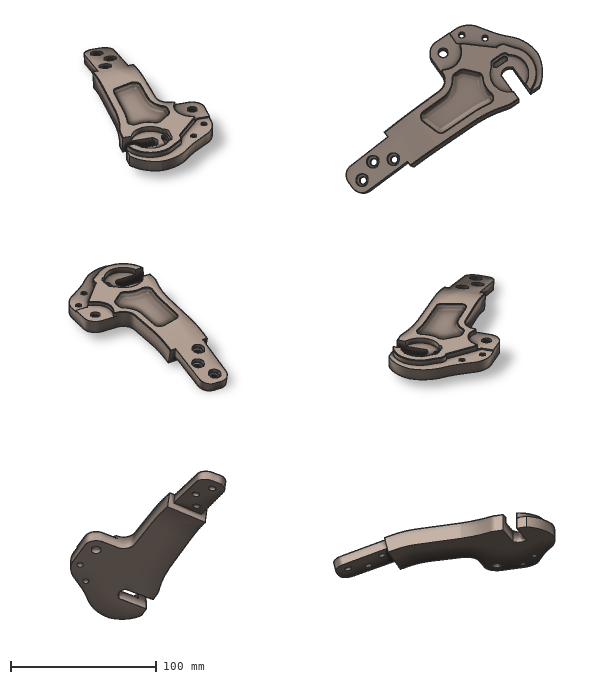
import cadquery as cq
import math

length = 158.0
head_depth = 66.0
plate = 11.8
edge_chamfer = 0.5
through = 4 * plate

bend_angle = 13.5
bend_start = 63.3
bend_radius = 77.9
tilt = math.radians(bend_angle)
bend_end = bend_start - bend_radius * math.sin(tilt)
bend_end_top = plate - bend_radius * (1 - math.cos(tilt))
tip_top = bend_end_top - bend_end * math.tan(tilt)

tongue_thickness = 6.8
tongue_low = 8.0
tongue_high_tip = 29.0
tongue_high_root = 30.2
tongue_corner = 7.9
tongue_overlap = 2.4
shoulder_low = 41.7
shoulder_high = 40.3
screw_holes = [(8.5, 16.6), (22.0, 22.5), (34.6, 15.3)]
screw_diameter = 5.0
counterbore_diameter = 8.7
counterbore_depth = 3.5

arm_low = 4.3
arm_high_end = (39.5, 34.3)
neck_x = 95.4
neck_corner = (neck_x, 36.3)
neck_fillet = 9.2

boss_radius = 9.0
pivot = (neck_x + boss_radius, head_depth - boss_radius)
pivot_diameter = 6.8
boss_relief_radius = 12.3
boss_relief = 2.8
step_corner = (115.8, 57.2)
relief_corner_fillet = 1.6
pin_holes = [(122.3, 60.2), (134.3, 49.3)]
pin_diameter = 4.3

hook = (133.3, 18.5)
slot_width = 10.0
slot_end_radius = 6.2
slot_top = 23.9
recess_radius = 13.3
ledge_depth = 4.0
recess_depth = ledge_depth
key_center = (hook[0], 29.5)
key_length = 11.2
key_width = 4.0
key_margin = 1.5
key_depth = key_width
rim_radius = 18.8
rim_start_angle = -75
rim_end_angle = 45

pocket_depth = 4.6
pocket_cove = 4.0
pocket_wall_offset = 4.1

incline = cq.Plane(
    origin=(0, 0, tip_top),
    xDir=(math.cos(tilt), 0, math.sin(tilt)),
    normal=(-math.sin(tilt), 0, math.cos(tilt)),
)


def drill(body, centers, diameter):
    """Cut vertical through holes."""
    pins = cq.Workplane("XY").pushPoints(centers).circle(diameter / 2).extrude(through, both=True)
    return body.cut(pins)


def bent_plate():
    """Side profile of constant thickness: flat head, bend and incline, wider than the part."""
    def bend_point(radius, angle):
        return (bend_start - radius * math.sin(angle), plate - bend_radius + radius * math.cos(angle))

    inner_radius = bend_radius - plate
    tip = (0, tip_top)
    tip_under = (plate * math.sin(tilt), tip_top - plate * math.cos(tilt))
    return (
        cq.Workplane("XZ")
        .moveTo(length + plate, plate)
        .lineTo(bend_start, plate)
        .threePointArc(bend_point(bend_radius, tilt / 2), bend_point(bend_radius, tilt))
        .lineTo(*tip)
        .lineTo(*tip_under)
        .lineTo(*bend_point(inner_radius, tilt))
        .threePointArc(bend_point(inner_radius, tilt / 2), (bend_start, 0))
        .lineTo(length + plate, 0)
        .close()
        .extrude(-head_depth - plate)
        .translate((0, -plate / 2, 0))
    )


def plan_outline():
    """Outline of arm and head seen from above, as a tall prism."""
    boss_diagonal = boss_radius * math.sqrt(0.5)
    prism = (
        cq.Workplane("XY")
        .moveTo(0, arm_low)
        .lineTo(96.4, arm_low)
        .threePointArc((107.9, 3.2), (119.1, 0.5))
        .threePointArc((120.5, 0.2), (122.1, 0))
        .lineTo(145.6, 0)
        .threePointArc((153.5, 7.6), (length, 19.3))
        .threePointArc((155.3, 31.5), (148.5, 40.8))
        .threePointArc((145.2, 44.2), (142.2, 47.9))
        .lineTo(135.8, 56.9)
        .threePointArc((130.6, 62.9), (122.4, head_depth))
        .lineTo(pivot[0], pivot[1] + boss_radius)
        .threePointArc((pivot[0] - boss_diagonal, pivot[1] + boss_diagonal), (neck_x, pivot[1]))
        .lineTo(*neck_corner)
        .lineTo(*arm_high_end)
        .lineTo(0, arm_high_end[1])
        .close()
        .extrude(through, both=True)
    )
    at_neck = cq.selectors.NearestToPointSelector((*neck_corner, 0))
    return prism.edges("|Z").edges(at_neck).fillet(neck_fillet)


def shoulder_cutter():
    """Everything on the tongue side of the slightly skewed shoulder face."""
    skew = (shoulder_low - shoulder_high) / (arm_high_end[1] - arm_low)
    low_y = -plate
    high_y = head_depth
    return (
        cq.Workplane(incline)
        .polyline([
            (-plate, low_y),
            (shoulder_low - skew * (low_y - arm_low), low_y),
            (shoulder_low - skew * (high_y - arm_low), high_y),
            (-plate, high_y),
        ])
        .close()
        .extrude(through, both=True)
    )


def ledge_cutter():
    """Lowered ledge outside the raised rim and the diagonal step."""
    def rim_point(degrees):
        angle = math.radians(degrees)
        return (hook[0] + rim_radius * math.cos(angle), hook[1] + rim_radius * math.sin(angle))

    return (
        cq.Workplane("XY", origin=(0, 0, plate - ledge_depth))
        .moveTo(*rim_point(rim_start_angle))
        .threePointArc(rim_point((rim_start_angle + rim_end_angle) / 2), rim_point(rim_end_angle))
        .lineTo(142.6, 37.1)
        .threePointArc((140.6, 38.5), (136.5, 38.9))
        .lineTo(*step_corner)
        .lineTo(step_corner[0], head_depth + plate)
        .lineTo(length + plate, head_depth + plate)
        .lineTo(length + plate, -plate)
        .lineTo(rim_point(rim_start_angle)[0], -plate)
        .close()
        .extrude(plate)
    )


def boss_cutter():
    """Lowered face around the pivot hole."""
    level = cq.Workplane("XY", origin=(0, 0, plate - boss_relief))
    round_part = level.center(*pivot).circle(boss_relief_radius).extrude(plate)
    width = step_corner[0] - neck_x + plate
    square_center = (step_corner[0] - width / 2, pivot[1] + width / 2)
    square_part = level.center(*square_center).rect(width, width).extrude(plate)
    return round_part.union(square_part)


def round_relief_corners(body):
    """Round the two upright corners where the pivot relief meets the neck and the ledge step."""
    neck_end = (neck_x, pivot[1] - math.sqrt(boss_relief_radius**2 - boss_radius**2))
    step_end = (pivot[0] + boss_relief_radius, step_corner[1])
    for corner in [neck_end, step_end]:
        nearest = cq.selectors.NearestToPointSelector((*corner, plate - boss_relief / 2))
        body = body.edges("|Z").edges(nearest).fillet(relief_corner_fillet)
    return body


def pocket_cutter():
    """Pocket whose coved walls run outward from the outline of its flat floor."""
    floor = (
        cq.Workplane("XY", origin=(0, 0, plate - pocket_depth))
        .moveTo(73.0, 14.4)
        .lineTo(96.5, 14.4)
        .threePointArc((103.5, 14.0), (110.7, 13.1))
        .threePointArc((110.1, 20.5), (112.6, 28.3))
        .lineTo(106.3, 35.4)
        .lineTo(102.5, 35.4)
        .threePointArc((95.5, 28.7), (86.4, 26.2))
        .lineTo(69.3, 25.7)
        .close()
    )
    pocket = floor.offset2D(pocket_wall_offset).extrude(pocket_depth)
    return pocket.faces("<Z").edges().fillet(pocket_cove)


def hook_cutter():
    """Open slot, round recess with a keyed bump, and the blind key slot."""
    half = slot_width / 2
    slot_shoulder = slot_top - slot_end_radius + math.sqrt(slot_end_radius**2 - half**2)
    slot = (
        cq.Workplane("XY")
        .moveTo(hook[0] - half, -plate)
        .lineTo(hook[0] + half, -plate)
        .lineTo(hook[0] + half, slot_shoulder)
        .threePointArc((hook[0], slot_top), (hook[0] - half, slot_shoulder))
        .close()
        .extrude(through, both=True)
    )
    floor = cq.Workplane("XY", origin=(0, 0, plate - recess_depth))
    recess = floor.center(*hook).circle(recess_radius).extrude(plate)
    bump_length = key_length + 2 * key_margin
    bump_width = key_width + 2 * key_margin
    bump = floor.center(*key_center).slot2D(bump_length, bump_width).extrude(plate)
    key = floor.center(*key_center).slot2D(key_length, key_width).extrude(-key_depth)
    return slot.union(recess).union(bump).union(key)


def tongue():
    """Inclined tongue with three counterbored screw holes."""
    root = shoulder_low + tongue_overlap
    body = (
        cq.Workplane(incline)
        .polyline([
            (0, tongue_low),
            (root, tongue_low),
            (root, tongue_high_root),
            (0, tongue_high_tip),
        ])
        .close()
        .extrude(-tongue_thickness)
    )
    body = body.faces("<X").edges("not |Y").fillet(tongue_corner)
    return (
        body.copyWorkplane(cq.Workplane(incline))
        .pushPoints(screw_holes)
        .cboreHole(screw_diameter, counterbore_diameter, counterbore_depth)
    )


body = bent_plate().intersect(plan_outline()).cut(shoulder_cutter())
body = body.cut(ledge_cutter())
body = body.cut(boss_cutter())
body = round_relief_corners(body)
body = body.cut(pocket_cutter())
body = body.faces(">Z").edges().chamfer(edge_chamfer)
body = body.cut(hook_cutter())
body = drill(body, [pivot], pivot_diameter)
body = drill(body, pin_holes, pin_diameter)
result = body.union(tongue())